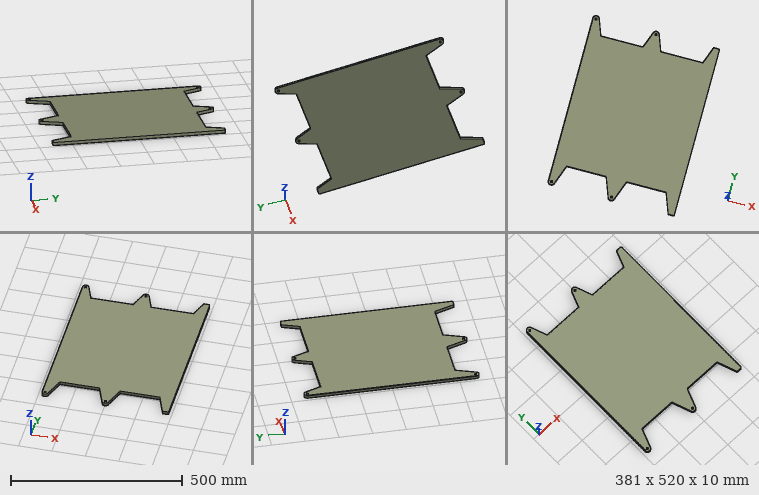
import cadquery as cq
import math

width = 381.0
length = 520.0
thickness = 10.0
rear_edge = 205.0
front_edge = -195.0
tip_radius = 10.0
hole_diameter = 5.5
taper = math.radians(20.2)
plain_horn_end = 256.5
plain_corner_radius = 3.5
bevel_width = 1.5
bevel_depth = 1.5

half_width = width / 2
tip_y = length / 2 - tip_radius
tip_x = half_width - tip_radius


def flank_tangent(x, sign, side, angle):
    """Point where a flank leaning by angle touches the round tip centred at x."""
    return (
        x + sign * tip_radius * math.cos(angle),
        side * (tip_y + tip_radius * math.sin(angle)),
    )


def flank_x(tangent, sign, angle, y):
    """X on the flank through the tangent point at the given Y."""
    return tangent[0] + sign * (abs(tangent[1]) - abs(y)) * math.tan(angle)


def round_horn(x, side, edge, left_angle, right_angle):
    """Horn with a round tip, growing from the plate edge."""
    left = flank_tangent(x, -1, side, left_angle)
    right = flank_tangent(x, 1, side, right_angle)
    left_root = flank_x(left, -1, left_angle, edge)
    right_root = flank_x(right, 1, right_angle, edge)
    return (
        cq.Workplane("XY")
        .moveTo(left_root, 0)
        .lineTo(left_root, edge)
        .lineTo(*left)
        .threePointArc((x, side * length / 2), right)
        .lineTo(right_root, edge)
        .lineTo(right_root, 0)
        .close()
        .extrude(thickness)
    )


def plain_horn(side, edge):
    """Right-hand horn with a flat end and a rounded outer corner."""
    tangent = flank_tangent(tip_x, -1, side, taper)
    root = flank_x(tangent, -1, taper, edge)
    end_y = side * plain_horn_end
    return (
        cq.Workplane("XY")
        .moveTo(root, 0)
        .lineTo(root, edge)
        .lineTo(flank_x(tangent, -1, taper, end_y), end_y)
        .lineTo(half_width, end_y)
        .lineTo(half_width, 0)
        .close()
        .extrude(thickness)
        .edges("|Z")
        .edges(cq.NearestToPointSelector((half_width, end_y, thickness / 2)))
        .fillet(plain_corner_radius)
    )


plate = (
    cq.Workplane("XY")
    .center(0, (rear_edge + front_edge) / 2)
    .rect(width, rear_edge - front_edge)
    .extrude(thickness)
)

for side, edge in ((1, rear_edge), (-1, front_edge)):
    plate = plate.union(round_horn(-tip_x, side, edge, 0, taper))
    plate = plate.union(round_horn(0, side, edge, taper, taper))
    plate = plate.union(plain_horn(side, edge))

hole_centres = [(x, side * tip_y) for x in (-tip_x, 0) for side in (1, -1)]
holes = (
    cq.Workplane("XY")
    .pushPoints(hole_centres)
    .circle(hole_diameter / 2)
    .extrude(thickness)
)

bevel = (
    cq.Workplane("XZ")
    .moveTo(-half_width, thickness)
    .lineTo(-half_width + bevel_width, thickness)
    .lineTo(-half_width, thickness - bevel_depth)
    .close()
    .extrude(length / 2, both=True)
)

result = plate.clean().cut(holes).cut(bevel)